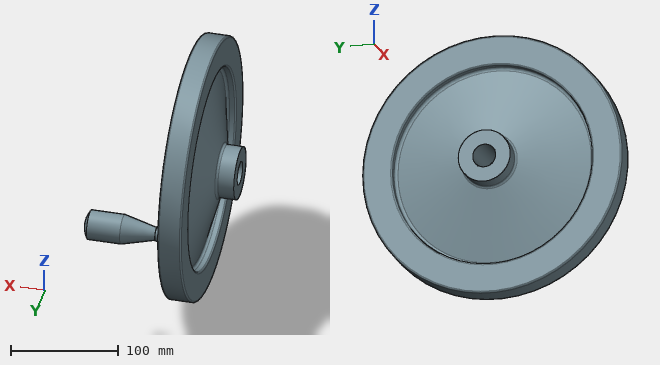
import cadquery as cq
import math

WHEEL_DIAMETER = 250.0
RIM_WIDTH = 22.5
RIM_BACK_X = 49.0
RIM_FRONT_X = RIM_BACK_X - RIM_WIDTH
RIM_EDGE_RADIUS = 1.5

HUB_DIAMETER = 50.0
BORE_DIAMETER = 22.0

RECESS_DIAMETER = 192.62
CONE_START_X = 17.0
CONE_ANGLE = 15.0
RECESS_FILLET_RADIUS = 2.5

OVERALL_LENGTH = 121.24
HANDLE_LENGTH = OVERALL_LENGTH - RIM_BACK_X
GRIP_DIAMETER = 28.0
NECK_DIAMETER = 13.44
NECK_LENGTH = 4.3
TAPER_START_DIAMETER = 12.0
TAPER_LENGTH = 31.7
DOME_HEIGHT = 4.6
HANDLE_OFFSET = 110.6

MATCH_TOLERANCE = 0.01


def revolve_about_x(profile):
    """Turn a closed (x, radius) profile in the XY plane about the X axis."""
    return profile.close().revolve(360, (0, 0, 0), (1, 0, 0))


def fillet_circle(solid, x, radius, fillet_radius):
    """Round the circular edge of the given radius that lies in the plane at x."""
    edges = [
        edge
        for edge in solid.edges("%CIRCLE").vals()
        if abs(edge.Center().x - x) < MATCH_TOLERANCE
        and abs(edge.radius() - radius) < MATCH_TOLERANCE
    ]
    return solid.newObject(edges).fillet(fillet_radius)


def make_wheel():
    wheel_radius = WHEEL_DIAMETER / 2
    hub_radius = HUB_DIAMETER / 2
    recess_radius = RECESS_DIAMETER / 2
    bore_radius = BORE_DIAMETER / 2
    cone_rise = (recess_radius - hub_radius) * math.tan(math.radians(CONE_ANGLE))
    cone_end_x = CONE_START_X + cone_rise

    wheel = revolve_about_x(
        cq.Workplane("XY")
        .moveTo(0, bore_radius)
        .lineTo(0, hub_radius)
        .lineTo(CONE_START_X, hub_radius)
        .lineTo(cone_end_x, recess_radius)
        .lineTo(RIM_FRONT_X, recess_radius)
        .lineTo(RIM_FRONT_X, wheel_radius)
        .lineTo(RIM_BACK_X, wheel_radius)
        .lineTo(RIM_BACK_X, bore_radius)
    )
    wheel = fillet_circle(wheel, CONE_START_X, hub_radius, RECESS_FILLET_RADIUS)
    wheel = fillet_circle(wheel, cone_end_x, recess_radius, RECESS_FILLET_RADIUS)
    wheel = fillet_circle(wheel, RIM_FRONT_X, recess_radius, RIM_EDGE_RADIUS)
    wheel = fillet_circle(wheel, RIM_FRONT_X, wheel_radius, RIM_EDGE_RADIUS)
    return fillet_circle(wheel, RIM_BACK_X, wheel_radius, RIM_EDGE_RADIUS)


def make_handle():
    neck_radius = NECK_DIAMETER / 2
    grip_radius = GRIP_DIAMETER / 2
    dome_radius = (grip_radius**2 + DOME_HEIGHT**2) / (2 * DOME_HEIGHT)
    dome_half_angle = math.asin(grip_radius / dome_radius) / 2
    dome_mid_x = HANDLE_LENGTH - dome_radius * (1 - math.cos(dome_half_angle))
    dome_mid_radius = dome_radius * math.sin(dome_half_angle)
    taper_end_x = NECK_LENGTH + TAPER_LENGTH

    handle = revolve_about_x(
        cq.Workplane("XY")
        .moveTo(0, 0)
        .lineTo(0, neck_radius)
        .lineTo(NECK_LENGTH, neck_radius)
        .lineTo(NECK_LENGTH, TAPER_START_DIAMETER / 2)
        .lineTo(taper_end_x, grip_radius)
        .lineTo(HANDLE_LENGTH - DOME_HEIGHT, grip_radius)
        .threePointArc((dome_mid_x, dome_mid_radius), (HANDLE_LENGTH, 0))
    )
    return handle.translate((RIM_BACK_X, HANDLE_OFFSET, 0))


result = make_wheel().union(make_handle())